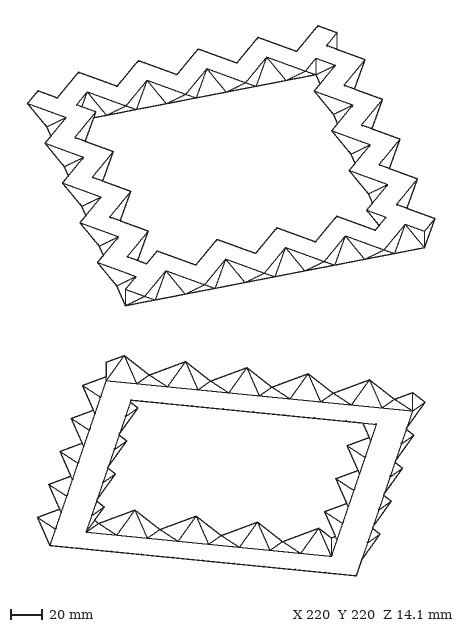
import cadquery as cq
import math

overall_size = 220.0
pitches_across = 11

pitch = overall_size / pitches_across
height = pitch / math.sqrt(2)
tooth_depth = pitch / 2
bar_width = pitch
outer_side = overall_size - 2 * tooth_depth
inner_side = outer_side - 2 * bar_width
front_outer_wall = -outer_side / 2
front_inner_wall = -inner_side / 2
side_count = 4
quarter_turn = 360 / side_count


def pitch_position(index):
    """X position of a pitch line, counted from the left tooth tips."""
    return index * pitch - overall_size / 2


def tooth_wedge(x, wall_y, direction):
    """Wedge on a wall: flat triangular top, apex pointing along direction (+1 or -1) in Y."""
    apex_y = wall_y + direction * tooth_depth
    plan_prism = (
        cq.Workplane("XY")
        .polyline([(x - pitch / 2, wall_y), (x + pitch / 2, wall_y), (x, apex_y)])
        .close()
        .extrude(height)
    )
    slope_prism = (
        cq.Workplane("YZ", origin=(x, 0, 0))
        .polyline([(wall_y, 0), (wall_y, height), (apex_y, height)])
        .close()
        .extrude(pitch / 2, both=True)
    )
    return plan_prism.intersect(slope_prism)


def square_frame():
    return (
        cq.Workplane("XY")
        .rect(outer_side, outer_side)
        .rect(inner_side, inner_side)
        .extrude(height)
    )


def front_teeth():
    """Teeth of the front bar: outer ones on odd pitch lines, inner ones on even lines."""
    outer = [
        tooth_wedge(pitch_position(index), front_outer_wall, -1)
        for index in range(1, pitches_across - 1, 2)
    ]
    inner = [
        tooth_wedge(pitch_position(index), front_inner_wall, 1)
        for index in range(2, pitches_across - 2, 2)
    ]
    return outer + inner


def front_notches():
    """Notches of the front bar, each one between or beside the teeth of the same wall."""
    outer = [
        tooth_wedge(pitch_position(index), front_outer_wall, 1)
        for index in range(2, pitches_across, 2)
    ]
    inner = [
        tooth_wedge(pitch_position(index), front_inner_wall, -1)
        for index in range(3, pitches_across - 1, 2)
    ]
    return outer + inner


def around_frame(wedges):
    """Repeat the wedges of the front bar on all four bars, as one compound."""
    return cq.Compound.makeCompound([
        wedge.rotate((0, 0, 0), (0, 0, 1), side * quarter_turn).val()
        for side in range(side_count)
        for wedge in wedges
    ])


frame = square_frame().cut(cq.Workplane(around_frame(front_notches())))
for tooth in around_frame(front_teeth()).Solids():
    frame = frame.union(cq.Workplane(tooth))

result = frame